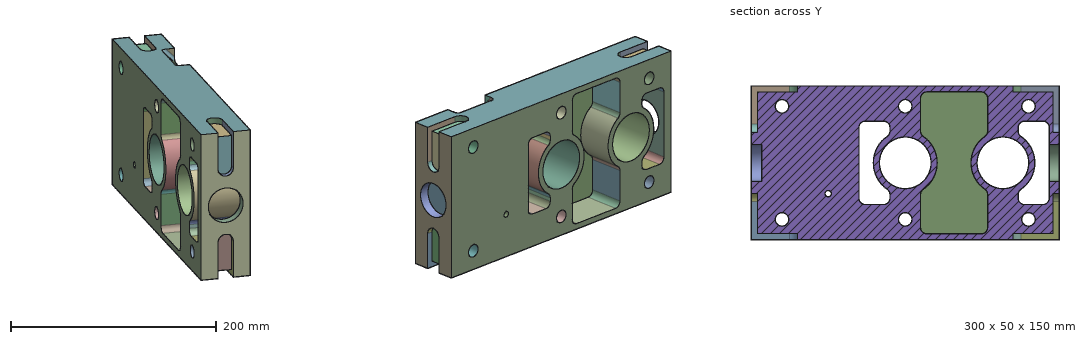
import cadquery as cq
import math

LENGTH = 300.0
THICKNESS = 50.0
HEIGHT = 150.0
TOP = HEIGHT / 2
MID_Y = THICKNESS / 2

BORE_DIAMETER = 50.0
BORE_WALL_DIAMETER = 62.5
BORE_SPACING = 95.0
LEFT_BORE_X = LENGTH / 2
RIGHT_BORE_X = LEFT_BORE_X + BORE_SPACING
CAVITY_CENTRE_X = (LEFT_BORE_X + RIGHT_BORE_X) / 2

CAVITY_EDGE_OFFSET = 15.0
CAVITY_CORNER_RADIUS = 6.0
POCKET_HEIGHT = 138.0
POCKET_DEPTH = 38.0
WINDOW_HEIGHT = 81.0
WINDOW_LEFT_X = 105.0

BOLT_DIAMETER = 13.0
BOLT_COLUMNS = (30.0, LENGTH / 2, LENGTH - 30.0)
BOLT_ROW_SPACING = 110.0
PIN_DIAMETER = 6.0
PIN_X = 75.0
PIN_Z = -30.0

GROOVE_WIDTH = 15.5
GROOVE_DEPTH = 6.0
GROOVE_REACH = 45.0

END_RECESS_DIAMETER = 35.5
END_RECESS_DEPTH = 10.2

NOTCH_LEFT_X = 44.5
NOTCH_RIGHT_X = 95.0
NOTCH_DEPTH = 13.8
NOTCH_SLOPE = 45.0
NOTCH_CORNER_RADIUS = 3.5
SCREW_DIAMETER = 3.0
SCREW_DEPTH = 12.0
SCREW_COLUMNS = (56.7, 82.5)
SCREW_INSET = 7.2

STEP_LEFT_X = 70.0
STEP_DEPTH = 4.5
STEP_DROP = 30.0
STEP_CORNER_RADIUS = 5.0


def rod_y(diameter, x, z, depth=THICKNESS):
    """Cylinder running from the front face towards the rear."""
    return cq.Workplane("XZ").center(x, z).circle(diameter / 2).extrude(-depth)


def cavity(x_min, x_max, height, depth, wall_centres):
    """Box centred on Z = 0, less the bore walls, with rounded corners, open at the front face."""
    shape = (
        cq.Workplane("XY")
        .box(x_max - x_min, depth, height, centered=(False, False, True))
        .translate((x_min, 0, 0))
    )
    for x in wall_centres:
        shape = shape.cut(rod_y(BORE_WALL_DIAMETER, x, 0))
    return shape.edges("|Y").fillet(CAVITY_CORNER_RADIUS)


def mirrored(shape):
    """The same shape on the other side of the plane midway between the bores."""
    return shape.mirror("YZ", (CAVITY_CENTRE_X, 0, 0))


def centre_pocket():
    left = LEFT_BORE_X + CAVITY_EDGE_OFFSET
    right = RIGHT_BORE_X - CAVITY_EDGE_OFFSET
    return cavity(left, right, POCKET_HEIGHT, POCKET_DEPTH, (LEFT_BORE_X, RIGHT_BORE_X))


def left_window():
    right = LEFT_BORE_X - CAVITY_EDGE_OFFSET
    return cavity(WINDOW_LEFT_X, right, WINDOW_HEIGHT, THICKNESS, (LEFT_BORE_X,))


def corner_groove():
    """Groove around the top left corner: one slot in the top face and one in the left end."""
    top_slot = (
        cq.Workplane("XY", origin=(0, MID_Y, TOP - GROOVE_DEPTH))
        .slot2D(2 * GROOVE_REACH, GROOVE_WIDTH)
        .extrude(GROOVE_DEPTH)
    )
    end_slot = (
        cq.Workplane("YZ", origin=(0, MID_Y, TOP))
        .slot2D(2 * GROOVE_REACH, GROOVE_WIDTH, 90)
        .extrude(GROOVE_DEPTH)
    )
    return top_slot.union(end_slot)


def end_recess():
    return (
        cq.Workplane("YZ", origin=(0, MID_Y, 0))
        .circle(END_RECESS_DIAMETER / 2)
        .extrude(END_RECESS_DEPTH)
    )


def sloped_notch():
    """Notch with a sloping floor, rounded where the floor meets the two side walls, and screw holes."""
    width = NOTCH_RIGHT_X - NOTCH_LEFT_X
    reach = 4 * NOTCH_DEPTH
    floor_edge = (0, THICKNESS - NOTCH_DEPTH, TOP)
    notch = (
        cq.Workplane("XY")
        .box(width, 2 * reach, reach, centered=(False, True, False))
        .edges("|Y and <Z")
        .fillet(NOTCH_CORNER_RADIUS)
        .rotate((0, 0, 0), (1, 0, 0), -NOTCH_SLOPE)
        .translate((NOTCH_LEFT_X, *floor_edge[1:]))
    )
    along_floor = (NOTCH_DEPTH - SCREW_INSET) / math.cos(math.radians(NOTCH_SLOPE))
    screws = (
        cq.Workplane("XY")
        .pushPoints([(x, along_floor) for x in SCREW_COLUMNS])
        .circle(SCREW_DIAMETER / 2)
        .extrude(-SCREW_DEPTH)
        .rotate((0, 0, 0), (1, 0, 0), -NOTCH_SLOPE)
        .translate(floor_edge)
    )
    return notch.union(screws)


def rear_step():
    """Step below the notch, rounded at its lower right corner."""
    return (
        cq.Workplane("XY")
        .box(NOTCH_RIGHT_X - STEP_LEFT_X, STEP_DEPTH, STEP_DROP, centered=False)
        .edges("|Y and <Z and >X")
        .fillet(STEP_CORNER_RADIUS)
        .translate((STEP_LEFT_X, THICKNESS - STEP_DEPTH, TOP - STEP_DROP))
    )


result = cq.Workplane("XY").box(LENGTH, THICKNESS, HEIGHT, centered=(False, False, True))

for bore_x in (LEFT_BORE_X, RIGHT_BORE_X):
    result = result.cut(rod_y(BORE_DIAMETER, bore_x, 0))

result = result.cut(centre_pocket())
result = result.cut(left_window())
result = result.cut(mirrored(left_window()))

for bolt_x in BOLT_COLUMNS:
    for bolt_z in (-BOLT_ROW_SPACING / 2, BOLT_ROW_SPACING / 2):
        result = result.cut(rod_y(BOLT_DIAMETER, bolt_x, bolt_z))
result = result.cut(rod_y(PIN_DIAMETER, PIN_X, PIN_Z))

left_grooves = corner_groove().union(corner_groove().mirror("XY"))
left_end = left_grooves.union(end_recess())
result = result.cut(left_end)
result = result.cut(left_end.mirror("YZ", (LENGTH / 2, 0, 0)))

result = result.cut(sloped_notch())
result = result.cut(rear_step())